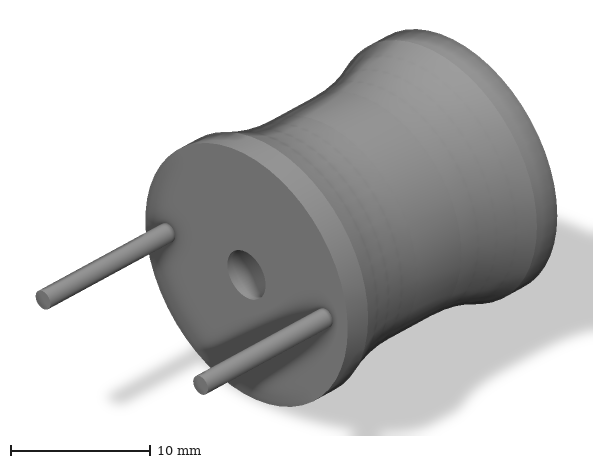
import cadquery as cq
import math

total_length = 34.05
lead_length = 12.7
body_length = total_length - lead_length
flange_radius = 20.55 / 2
flange_thickness = 2.08
waist_radius = 17.85 / 2
waist_length = 4.53
bore_diameter = 3.88
lead_diameter = 1.5
lead_spacing = 16.0

flare_length = (body_length - waist_length) / 2 - flange_thickness
flare_rise = flange_radius - waist_radius
flare_radius = (flare_length**2 + flare_rise**2) / (2 * flare_rise)
half_flare_angle = math.asin(flare_length / flare_radius) / 2
mid_run = flare_radius * math.sin(half_flare_angle)
mid_radius = waist_radius + flare_radius * (1 - math.cos(half_flare_angle))

front_flare_start = flange_thickness
waist_start = flange_thickness + flare_length
waist_end = waist_start + waist_length
back_flare_end = body_length - flange_thickness


def make_body():
    """Revolve the spool profile about Y and drill the bore through it."""
    profile = (
        cq.Workplane("XY")
        .lineTo(flange_radius, 0)
        .lineTo(flange_radius, front_flare_start)
        .threePointArc((mid_radius, waist_start - mid_run), (waist_radius, waist_start))
        .lineTo(waist_radius, waist_end)
        .threePointArc((mid_radius, waist_end + mid_run), (flange_radius, back_flare_end))
        .lineTo(flange_radius, body_length)
        .lineTo(0, body_length)
        .close()
    )
    spool = profile.revolve(360, (0, 0, 0), (0, 1, 0))
    bore = cq.Workplane("XZ").circle(bore_diameter / 2).extrude(-body_length)
    return spool.cut(bore)


def make_leads():
    """Two round leads, rooted inside the flange so that they join the body."""
    return (
        cq.Workplane("XZ", origin=(0, flange_thickness, 0))
        .pushPoints([(-lead_spacing / 2, 0), (lead_spacing / 2, 0)])
        .circle(lead_diameter / 2)
        .extrude(flange_thickness + lead_length)
    )


result = make_body().union(make_leads())